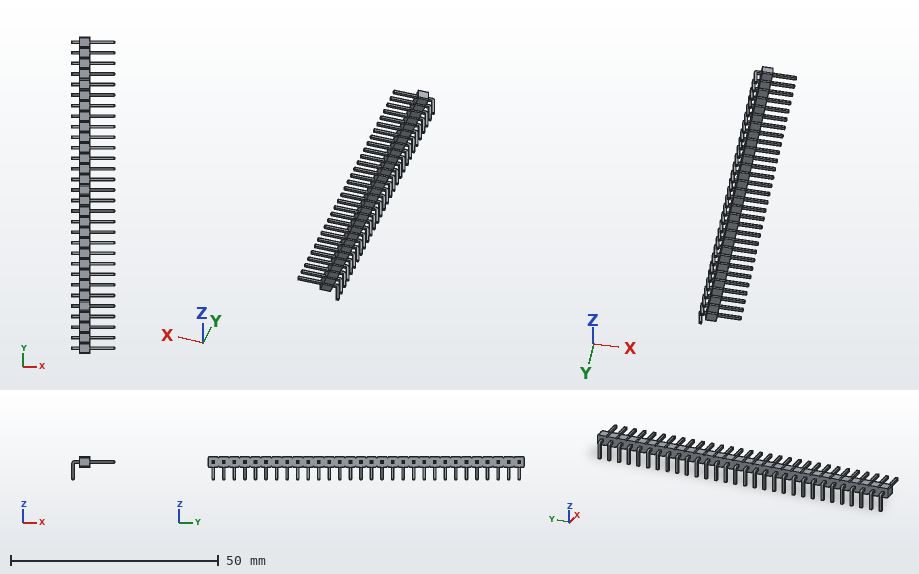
import cadquery as cq

pin_count = 30
pitch = 2.54

block_width = pitch
block_height = pitch
block_chamfer = pitch / 10
housing_offset = 1.5

pin_size = 0.64
half_pin = pin_size / 2
tip_chamfer = pin_size / 4
bend_radius = pin_size
tail_length = 3.0
contact_length = 6.0
pin_height = block_height / 2
contact_end = housing_offset + block_width + contact_length


def make_block():
    """One housing segment, with its four long edges across the row chamfered."""
    block = cq.Workplane("XY").box(block_width, pitch, block_height)
    block = block.edges("|X").chamfer(block_chamfer)
    return block.translate((housing_offset + block_width / 2, 0, block_height / 2))


def make_pin():
    """L-shaped square pin with a rounded outer bend and chamfered tips."""
    profile = [
        (-half_pin, -tail_length),
        (half_pin, -tail_length),
        (half_pin, pin_height - half_pin),
        (contact_end, pin_height - half_pin),
        (contact_end, pin_height + half_pin),
        (-half_pin, pin_height + half_pin),
    ]
    pin = cq.Workplane("XZ").polyline(profile).close().extrude(half_pin, both=True)
    pin = pin.faces("<Z").edges().chamfer(tip_chamfer)
    pin = pin.faces(">X").edges().chamfer(tip_chamfer)
    outer_corner = (-half_pin, 0, pin_height + half_pin)
    return pin.edges(cq.selectors.NearestToPointSelector(outer_corner)).fillet(bend_radius)


def make_header():
    """Blocks and pins repeated towards -Y, fused with neighbouring faces merged."""
    segment = make_block().union(make_pin()).val()
    copies = [segment.translate(cq.Vector(0, -index * pitch, 0)) for index in range(1, pin_count)]
    return cq.Workplane("XY").add(segment.fuse(*copies).clean().Solids()[0])


result = make_header()